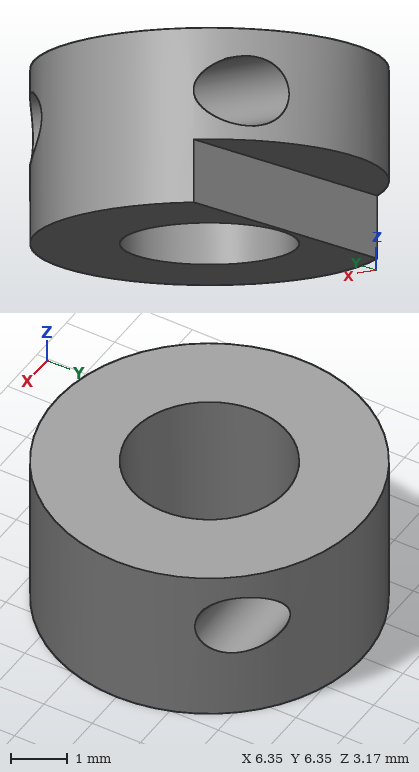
import cadquery as cq

outer_diameter = 6.35
bore_diameter = 3.175
height = 3.17

step_face_x = -1.68
step_height = 1.14

cross_hole_diameter = 1.27
cross_hole_y = 2.06
cross_hole_z = 2.04


def make_collar():
    """Ring standing on Z = 0, centred on the Z axis."""
    return (
        cq.Workplane("XY")
        .circle(outer_diameter / 2)
        .circle(bore_diameter / 2)
        .extrude(height)
    )


def make_step_cutter():
    """Block covering everything beyond the step face, below the step."""
    return (
        cq.Workplane("XY")
        .box(outer_diameter, outer_diameter, step_height, centered=(False, True, False))
        .translate((step_face_x - outer_diameter, 0, 0))
    )


def make_cross_hole_cutter():
    """Rod along X, long enough to pass through the whole collar."""
    return (
        cq.Workplane("YZ")
        .center(cross_hole_y, cross_hole_z)
        .circle(cross_hole_diameter / 2)
        .extrude(outer_diameter / 2, both=True)
    )


result = make_collar().cut(make_step_cutter()).cut(make_cross_hole_cutter())